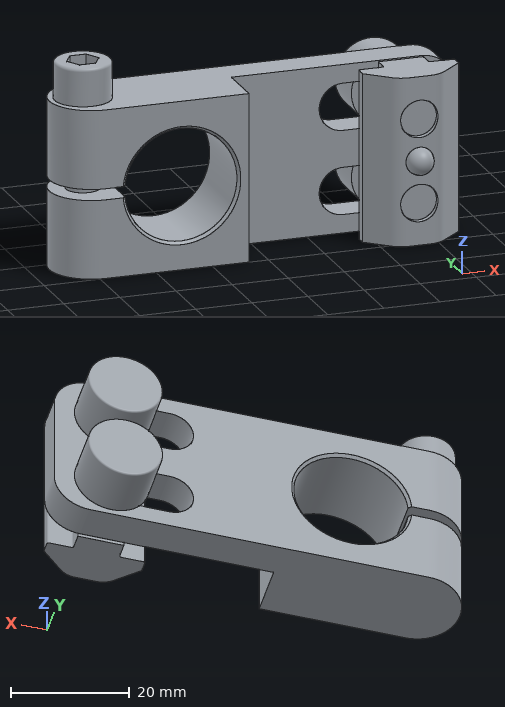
import cadquery as cq
import math

OVERLAP = 0.4

arm_length = 73.0
arm_height = 30.0
block_depth = 15.0
block_length = 33.0
plate_thickness = 6.0
plate_corner_radius = 6.2
nose_radius = block_depth / 2
mid_height = arm_height / 2

bore_diameter = 20.0
bore_center_x = 21.0
bore_chamfer = 0.5
slit_width = 2.0

clamp_screw_x = 6.0
clamp_screw_diameter = 6.0
clamp_head_diameter = 10.0
clamp_head_height = 6.7
clamp_head_round = 0.6
socket_flats = 5.0
socket_depth = 3.0
socket_tip_angle = 120.0
socket_sides = 6

plate_screw_x = 63.0
plate_screw_spacing = 15.0
plate_screw_diameter = 8.0
plate_head_diameter = 13.0
plate_head_height = 8.8
plate_head_round = 0.4
slot_width = 8.4
slot_start_x = 48.7

nut_gap = 0.65
nut_neck_width = 8.0
nut_neck_height = 2.85
nut_width = 17.15
nut_depth = 9.55
nut_wing_edge = 2.1
nut_flat_width = 3.7
nut_nose_radius = 4.2
nut_nose_turn = 45.0
nut_corner_round = 0.4
nut_hole_diameter = 6.65
nut_hole_depth = 1.0
ball_diameter = 4.9

nut_back_y = -plate_thickness - nut_gap
nut_front_y = nut_back_y - nut_depth
plate_screw_heights = [mid_height + side * plate_screw_spacing / 2 for side in (-1, 1)]


def cylinder_along_y(diameter, x, z, y_start, y_end):
    """Cylinder parallel to Y between two Y positions."""
    return cq.Workplane("XY").add(
        cq.Solid.makeCylinder(
            diameter / 2, abs(y_end - y_start), cq.Vector(x, y_start, z), cq.Vector(0, y_end - y_start, 0)
        )
    )


def make_arm():
    """Stepped arm with a rounded nose and rounded far corners."""
    arm = (
        cq.Workplane("XY")
        .moveTo(nose_radius, 0)
        .lineTo(arm_length, 0)
        .lineTo(arm_length, -plate_thickness)
        .lineTo(block_length, -plate_thickness)
        .lineTo(block_length, -block_depth)
        .lineTo(nose_radius, -block_depth)
        .threePointArc((0, -nose_radius), (nose_radius, 0))
        .close()
        .extrude(arm_height)
    )
    return arm.edges("|Y and >X").fillet(plate_corner_radius)


def cut_bore_and_slit(arm):
    """Tube bore chamfered at both mouths, opened to the nose by the slit."""
    bore = cylinder_along_y(bore_diameter, bore_center_x, mid_height, 0, -block_depth)
    radius = bore_diameter / 2
    for face_y, inward in ((0, -1), (-block_depth, 1)):
        mouth = cq.Solid.makeCone(
            radius + bore_chamfer,
            radius,
            bore_chamfer,
            cq.Vector(bore_center_x, face_y, mid_height),
            cq.Vector(0, inward, 0),
        )
        bore = bore.union(cq.Workplane("XY").add(mouth))
    slit = cq.Workplane("XY").box(bore_center_x, block_depth, slit_width, centered=(False, False, True))
    return arm.cut(bore).cut(slit.translate((0, -block_depth, mid_height)))


def cut_slots(arm):
    """Two long slots through the plate, ending around the plate screws."""
    slot_end_x = plate_screw_x + slot_width / 2
    slots = (
        cq.Workplane("XZ")
        .pushPoints([((slot_start_x + slot_end_x) / 2, z) for z in plate_screw_heights])
        .slot2D(slot_end_x - slot_start_x, slot_width)
        .extrude(plate_thickness)
    )
    return arm.cut(slots)


def make_clamp_screw():
    """Cap screw bridging the slit, with a hexagon socket ending in a drill cone."""
    shank_length = slit_width + 2 * OVERLAP
    shank = (
        cq.Workplane("XY", origin=(clamp_screw_x, -nose_radius, mid_height - shank_length / 2))
        .circle(clamp_screw_diameter / 2)
        .extrude(shank_length)
    )
    head = (
        cq.Workplane("XY", origin=(clamp_screw_x, -nose_radius, arm_height - OVERLAP))
        .circle(clamp_head_diameter / 2)
        .extrude(clamp_head_height + OVERLAP)
        .faces(">Z").edges().fillet(clamp_head_round)
    )
    socket_corners = socket_flats / math.cos(math.pi / socket_sides)
    head = head.faces(">Z").workplane().polygon(socket_sides, socket_corners).cutBlind(-socket_depth)
    tip_radius = socket_flats / 2
    tip = cq.Solid.makeCone(
        tip_radius,
        0,
        tip_radius / math.tan(math.radians(socket_tip_angle / 2)),
        cq.Vector(clamp_screw_x, -nose_radius, arm_height + clamp_head_height - socket_depth),
        cq.Vector(0, 0, -1),
    )
    return shank.union(head.cut(cq.Workplane("XY").add(tip)))


def make_plate_screw(z):
    """Cap screw from behind the plate into the T-slot nut."""
    head = cylinder_along_y(plate_head_diameter, plate_screw_x, z, 0, plate_head_height)
    head = head.faces(">Y").edges().fillet(plate_head_round)
    shank = cylinder_along_y(plate_screw_diameter, plate_screw_x, z, OVERLAP, nut_back_y - OVERLAP)
    return head.union(shank)


def make_nut():
    """T-shaped nut with a blunt rounded nose, two shallow holes and a spring ball."""
    half_neck = nut_neck_width / 2
    half_width = nut_width / 2
    half_flat = nut_flat_width / 2
    wing_y = -nut_neck_height
    edge_y = wing_y - nut_wing_edge
    turn = math.radians(nut_nose_turn)

    def nose_point(angle):
        return (
            half_flat + nut_nose_radius * math.sin(angle),
            -nut_depth + nut_nose_radius * (1 - math.cos(angle)),
        )

    half = (
        cq.Workplane("XY", origin=(plate_screw_x, nut_back_y, 0))
        .lineTo(half_neck, 0)
        .lineTo(half_neck, wing_y)
        .lineTo(half_width, wing_y)
        .lineTo(half_width, edge_y)
        .lineTo(*nose_point(turn))
        .threePointArc(nose_point(turn / 2), nose_point(0))
        .lineTo(0, -nut_depth)
        .close()
        .extrude(arm_height)
    )
    wing_face_y = nut_back_y + wing_y
    step_edges = cq.selectors.BoxSelector(
        (plate_screw_x + half_neck - OVERLAP, wing_face_y - OVERLAP, 0),
        (plate_screw_x + half_width + OVERLAP, wing_face_y + OVERLAP, arm_height),
    )
    half = half.edges("|Z").edges(step_edges).fillet(nut_corner_round)
    nut = half.union(half.mirror("YZ", (plate_screw_x, 0, 0)))
    for z in plate_screw_heights:
        nut = nut.cut(
            cylinder_along_y(nut_hole_diameter, plate_screw_x, z, nut_front_y, nut_front_y + nut_hole_depth)
        )
    ball = cq.Workplane("XY").sphere(ball_diameter / 2)
    return nut.union(ball.translate((plate_screw_x, nut_front_y, mid_height)))


result = cut_slots(cut_bore_and_slit(make_arm()))
result = result.union(make_clamp_screw())
result = result.union(make_nut())
for screw_z in plate_screw_heights:
    result = result.union(make_plate_screw(screw_z))